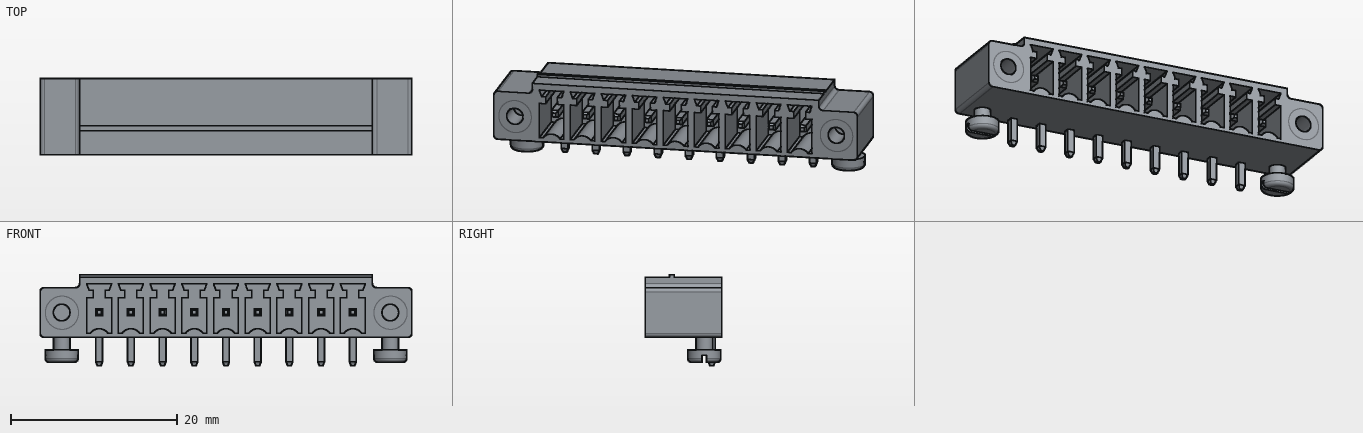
import cadquery as cq


pin_count = 9
pin_pitch = 3.81
pin_width = 0.84
pin_tip_width = 0.45
pin_tip_length = 0.5
pin_axis_height = 3.03
pin_front_y = 1.5
pin_tail_y = 8.0
pin_tail_length = 3.4
pin_positions = [(i - (pin_count - 1) / 2) * pin_pitch for i in range(pin_count)]

length = 44.68
depth = 9.2
flange_height = 6.0
main_length = 35.2
main_height = 7.25
corner_radius = 0.5

rib_width = 0.6
rib_height = 0.3
rib_center_y = 3.2

cavity_depth = 7.0
cavity_width = 3.0
cavity_floor = 0.5
shoulder_height = 4.8
neck_width = 1.45
neck_top = 5.65
dovetail_bottom_width = 2.4
cavity_top = 6.45
hump_width = 2.1
hump_height = 0.55

flange_pitch = 4.5
flange_axis_x = pin_positions[-1] + flange_pitch
insert_axis_height = 3.0
insert_diameter = 4.0
insert_hole_diameter = 2.0
insert_depth = 4.0
screw_y = 7.1
shank_diameter = 2.0
head_diameter = 4.0
head_top_z = -1.5
head_height = 1.5
head_fillet = 0.5
slot_width = 0.5
slot_depth = 0.85


def box_between(x_range, y_range, z_range):
    """Axis-aligned box given by its limits along each axis."""
    return (
        cq.Workplane("XY")
        .box(
            x_range[1] - x_range[0],
            y_range[1] - y_range[0],
            z_range[1] - z_range[0],
            centered=False,
        )
        .translate((x_range[0], y_range[0], z_range[0]))
    )


def mating_face():
    """Workplane on the mating face, with X to the right, Z up and extrusion toward -Y."""
    return cq.Workplane("XZ")


def make_housing():
    """Stepped block with rounded flange corners and blended steps, plus the coding rib."""
    half_length = length / 2
    half_main = main_length / 2
    profile = (
        mating_face()
        .moveTo(-half_length, 0)
        .lineTo(half_length, 0)
        .lineTo(half_length, flange_height)
        .lineTo(half_main, flange_height)
        .lineTo(half_main, main_height)
        .lineTo(-half_main, main_height)
        .lineTo(-half_main, flange_height)
        .lineTo(-half_length, flange_height)
        .close()
    )
    block = profile.extrude(-depth)
    block = block.edges("|Y and (<X or >X)").fillet(corner_radius)
    step_corners = cq.selectors.BoxSelector(
        (-half_main - corner_radius / 2, 0, flange_height - corner_radius / 2),
        (half_main + corner_radius / 2, depth, flange_height + corner_radius / 2),
    )
    block = block.edges("|Y").edges(step_corners).fillet(corner_radius)
    rib = box_between(
        (-half_main, half_main),
        (rib_center_y - rib_width / 2, rib_center_y + rib_width / 2),
        (main_height, main_height + rib_height),
    )
    return block.union(rib)


def make_cavity():
    """Plug cavity centred on X = 0: wide chamber, arched floor, narrow neck and dovetail top."""
    half_cavity = cavity_width / 2
    half_hump = hump_width / 2
    half_neck = neck_width / 2
    half_dovetail = dovetail_bottom_width / 2
    return (
        mating_face()
        .moveTo(-half_cavity, cavity_floor)
        .lineTo(-half_hump, cavity_floor)
        .threePointArc((0, cavity_floor + hump_height), (half_hump, cavity_floor))
        .lineTo(half_cavity, cavity_floor)
        .lineTo(half_cavity, shoulder_height)
        .lineTo(half_neck, shoulder_height)
        .lineTo(half_neck, neck_top)
        .lineTo(half_dovetail, neck_top)
        .lineTo(half_cavity, cavity_top)
        .lineTo(-half_cavity, cavity_top)
        .lineTo(-half_dovetail, neck_top)
        .lineTo(-half_neck, neck_top)
        .lineTo(-half_neck, shoulder_height)
        .lineTo(-half_cavity, shoulder_height)
        .close()
        .extrude(-cavity_depth)
    )


def make_pin_tip(plane):
    """Tapered square tip that grows along the normal of the given plane."""
    return (
        cq.Workplane(plane)
        .rect(pin_width, pin_width)
        .workplane(offset=pin_tip_length)
        .rect(pin_tip_width, pin_tip_width)
        .loft()
    )


def make_pin():
    """Right-angled square pin centred on X = 0 with a tapered tip at each end."""
    half_pin = pin_width / 2
    contact_end_y = pin_front_y + pin_tip_length
    tail_end_z = -pin_tail_length + pin_tip_length
    contact = box_between(
        (-half_pin, half_pin),
        (contact_end_y, pin_tail_y + half_pin),
        (pin_axis_height - half_pin, pin_axis_height + half_pin),
    )
    tail = box_between(
        (-half_pin, half_pin),
        (pin_tail_y - half_pin, pin_tail_y + half_pin),
        (tail_end_z, pin_axis_height),
    )
    contact_tip = make_pin_tip(
        cq.Plane(origin=(0, contact_end_y, pin_axis_height), xDir=(1, 0, 0), normal=(0, -1, 0))
    )
    tail_tip = make_pin_tip(
        cq.Plane(origin=(0, pin_tail_y, tail_end_z), xDir=(1, 0, 0), normal=(0, 0, -1))
    )
    return contact.union(tail).union(contact_tip).union(tail_tip)


def make_screw():
    """Slotted mounting screw on the axis X = 0, Y = screw_y, with its shank ending at Z = 0."""
    head_bottom_z = head_top_z - head_height
    head = (
        cq.Workplane("XY", origin=(0, screw_y, head_bottom_z))
        .circle(head_diameter / 2)
        .extrude(head_height)
        .faces("<Z")
        .edges()
        .fillet(head_fillet)
    )
    slot = box_between(
        (-head_diameter, head_diameter),
        (screw_y - slot_width / 2, screw_y + slot_width / 2),
        (head_bottom_z, head_bottom_z + slot_depth),
    )
    shank = (
        cq.Workplane("XY", origin=(0, screw_y, head_top_z))
        .circle(shank_diameter / 2)
        .extrude(-head_top_z)
    )
    return head.cut(slot).union(shank)


def flange_cylinder(x, diameter):
    """Cylinder of the insert depth, running back from the mating face on a flange axis."""
    return (
        mating_face()
        .center(x, insert_axis_height)
        .circle(diameter / 2)
        .extrude(-insert_depth)
    )


housing = make_housing()
for pin_x in pin_positions:
    housing = housing.cut(make_cavity().translate((pin_x, 0, 0)))
    housing = housing.union(make_pin().translate((pin_x, 0, 0)))

for flange_x in (-flange_axis_x, flange_axis_x):
    housing = housing.union(make_screw().translate((flange_x, 0, 0)))

for flange_x in (-flange_axis_x, flange_axis_x):
    pocket = flange_cylinder(flange_x, insert_diameter)
    insert = pocket.cut(flange_cylinder(flange_x, insert_hole_diameter))
    housing = housing.cut(pocket, clean=False)
    housing = housing.union(insert, clean=False)

result = housing